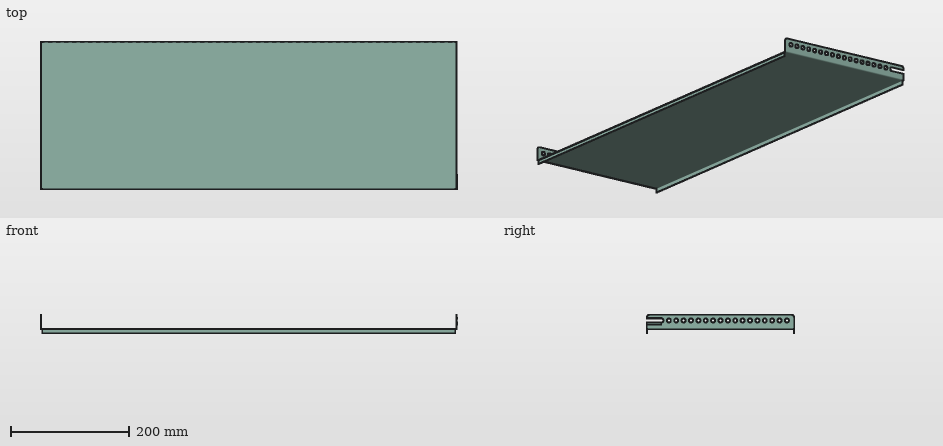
import cadquery as cq

length = 706.0
depth = 250.0
height = 32.0
sheet = 1.0
wall_bend_radius = 2.0
lip_bend_radius = 1.3

strip_thickness = 1.0
upper_strip_height = 1.05
lower_strip_height = 4.0

wall_left = -length / 2
wall_right = length / 2 - strip_thickness
tray_center_x = (wall_left + wall_right) / 2
tray_length = wall_right - wall_left
wall_bottom = 6.7
wall_height = height - wall_bottom
wall_corner_radius = 5.0

lip_inset = 2.5
lip_length = tray_length - 2 * lip_inset
lip_top = wall_bottom + sheet

hole_diameter = 6.5
hole_count = 17
pitches_in_depth = 20
hole_pitch = depth / pitches_in_depth
hole_z = height - 10.0
slot_length = 2 * hole_pitch


def trough():
    """Floor and both side walls, bent from one sheet."""
    outer = (
        cq.Workplane("XY", origin=(tray_center_x, 0, wall_bottom))
        .box(tray_length, depth, wall_height, centered=(True, True, False))
        .edges("|Y and <Z")
        .fillet(wall_bend_radius)
    )
    inner = (
        cq.Workplane("XY", origin=(tray_center_x, 0, lip_top))
        .box(tray_length - 2 * sheet, depth, wall_height, centered=(True, True, False))
        .edges("|Y and <Z")
        .fillet(wall_bend_radius - sheet)
    )
    return outer.cut(inner).edges("|X and >Z").fillet(wall_corner_radius)


def lip_channel():
    """Floor with the two long edges bent downward."""
    outer = (
        cq.Workplane("XY", origin=(tray_center_x, 0, 0))
        .box(lip_length, depth, lip_top, centered=(True, True, False))
        .edges("|X and >Z")
        .fillet(lip_bend_radius)
    )
    inner = (
        cq.Workplane("XY", origin=(tray_center_x, 0, 0))
        .box(lip_length, depth - 2 * sheet, wall_bottom, centered=(True, True, False))
        .edges("|X and >Z")
        .fillet(lip_bend_radius - sheet)
    )
    return outer.cut(inner)


def bend_relief():
    """Strips cleared from the floor's long edges to make way for the rounded lip bends."""
    relief = cq.Workplane("XY")
    for side in (-1, 1):
        edge_strip = cq.Workplane("XY").box(lip_length, lip_bend_radius, sheet)
        edge_y = side * (depth - lip_bend_radius) / 2
        relief = relief.add(edge_strip.translate((tray_center_x, edge_y, wall_bottom + sheet / 2)))
    return relief.combine()


def wall_strip(bottom, strip_height):
    """Strip on the outer face of the +X wall, running along the slot."""
    return cq.Workplane("XY", origin=(wall_right, -depth / 2, bottom)).box(
        strip_thickness, slot_length, strip_height, centered=False
    )


def wall_openings():
    """Holes and open-ended slot, passing through both side walls."""
    first_hole_y = depth / 2 - hole_pitch
    slot_end_y = -depth / 2 + slot_length
    centers = [(first_hole_y - i * hole_pitch, hole_z) for i in range(hole_count)]
    centers.append((slot_end_y, hole_z))
    holes = (
        cq.Workplane("YZ", origin=(wall_left, 0, 0))
        .pushPoints(centers)
        .circle(hole_diameter / 2)
        .extrude(length)
    )
    slot = cq.Workplane("XY", origin=(0, slot_end_y - slot_length / 2, hole_z)).box(
        length, slot_length, hole_diameter
    )
    return holes.union(slot)


slot_top = hole_z + hole_diameter / 2
slot_bottom = hole_z - hole_diameter / 2
tray = trough().cut(bend_relief()).union(lip_channel()).cut(wall_openings())
result = tray.union(wall_strip(slot_top, upper_strip_height)).union(
    wall_strip(slot_bottom - lower_strip_height, lower_strip_height)
)